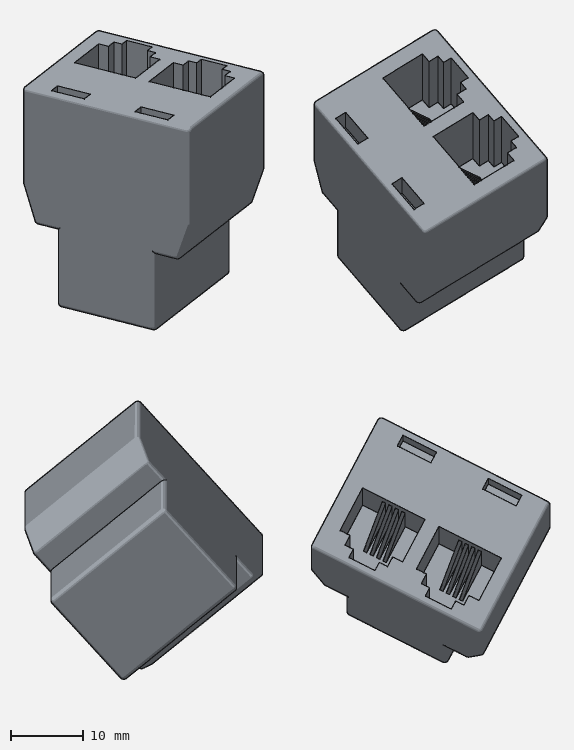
import cadquery as cq

body_width = 26.85
depth = 21.07
height = 32.72
stem_width = 15.77
shoulder_width = 22.9
shoulder_z = 11.88
taper_top_z = 17.75
edge_radius = 0.62

socket_offset_x = 5.95
socket_depth = 11.78
socket_width = 9.75
key_outer_width = 6.65
key_inner_width = 4.05
socket_front_y = -0.35
socket_main_back_y = 6.4
key_outer_back_y = 7.95
key_inner_back_y = 9.25

contact_count = 4
contact_pitch = 1.0
contact_width = 0.52
contact_reach = 5.73
contact_height = 9.33

slot_width = 5.25
slot_length = 1.7
slot_depth = 3.93
slot_offset_x = socket_offset_x + (key_outer_width - slot_width) / 2
slot_front_wall = 0.98
slot_front_y = slot_front_wall - depth / 2


def make_housing():
    right_half = [
        (stem_width / 2, 0),
        (stem_width / 2, shoulder_z),
        (shoulder_width / 2, shoulder_z),
        (body_width / 2, taper_top_z),
        (body_width / 2, height),
    ]
    left_half = [(-x, z) for x, z in reversed(right_half)]
    block = cq.Workplane("XZ").polyline(right_half + left_half).close().extrude(depth / 2, both=True)

    inner_corners = [
        edge
        for edge in block.edges("|Y").vals()
        if abs(abs(edge.Center().x) - stem_width / 2) < edge_radius
        and abs(edge.Center().z - shoulder_z) < edge_radius
    ]
    rounded_edges = block.edges().filter(
        lambda edge: not any(edge.isSame(corner) for corner in inner_corners)
    )
    return rounded_edges.fillet(edge_radius)


def make_pocket(center_x, width, front_y, back_y, pocket_depth):
    """Rectangular pocket volume sunk from the top face."""
    length = back_y - front_y
    return (
        cq.Workplane("XY", origin=(center_x, front_y + length / 2, height))
        .rect(width, length)
        .extrude(-pocket_depth)
    )


def make_contact(center_x):
    floor_z = height - socket_depth
    wedge = [
        (socket_front_y, floor_z),
        (socket_front_y + contact_reach, floor_z),
        (socket_front_y, floor_z + contact_height),
    ]
    return (
        cq.Workplane("YZ", origin=(center_x, 0, 0))
        .polyline(wedge)
        .close()
        .extrude(contact_width / 2, both=True)
    )


def make_socket(center_x):
    """Socket volume: a main pocket with two narrower key steps at the back, less the contacts."""
    cavity = make_pocket(center_x, socket_width, socket_front_y, socket_main_back_y, socket_depth)
    for width, back_y in ((key_outer_width, key_outer_back_y), (key_inner_width, key_inner_back_y)):
        cavity = cavity.union(make_pocket(center_x, width, socket_front_y, back_y, socket_depth))

    first_contact_x = center_x - (contact_count - 1) * contact_pitch / 2
    for index in range(contact_count):
        cavity = cavity.cut(make_contact(first_contact_x + index * contact_pitch))
    return cavity


def make_slot(center_x):
    return make_pocket(center_x, slot_width, slot_front_y, slot_front_y + slot_length, slot_depth)


result = make_housing()
for side in (-1, 1):
    result = result.cut(make_socket(side * socket_offset_x))
    result = result.cut(make_slot(side * slot_offset_x))